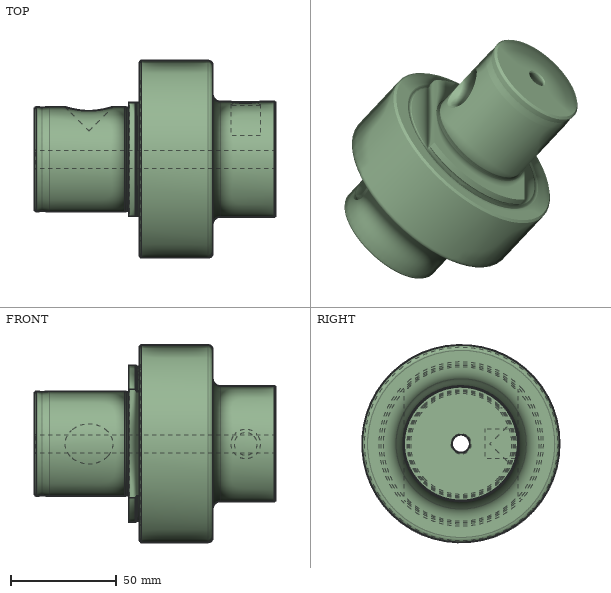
import cadquery as cq

shank_radius = 25.0
shank_end_chamfer = 1.0
groove_start_x = 1.2
groove_bottom_x = 3.7
groove_end_x = 7.2
groove_depth = 0.3

shank_undercut_ramp_length = 0.8
shank_undercut_length = 1.8
shank_undercut_depth = 0.3
shank_undercut_corner = 0.8
shank_undercut_face_depth = 0.3
shank_undercut_outer_radius = 25.75

flange_x = 45.0
flange_length = 5.0
flange_radius = 37.4
flat_half_width = 27.1

flange_undercut_ramp_length = 0.7
flange_undercut_length = 1.8
flange_undercut_depth = 0.7
flange_undercut_corner = 1.4
flange_undercut_face_depth = 0.5
flange_undercut_outer_radius = 39.1

head_x = flange_x + flange_length
head_radius = 47.0
head_length = 35.0
head_front_chamfer = 1.0
head_rear_fillet = 2.5
head_rear_x = head_x + head_length

nose_radius = 27.5
nose_root_fillet = 3.5
nose_end_x = 115.0
nose_end_chamfer_length = 0.8
nose_end_chamfer_depth = 0.5

bore_radius = 4.2
bore_chamfer = 0.6

dimple_x = 26.0
dimple_mouth_radius = 11.4
dimple_cutter_overrun = 1.0

screw_x = 100.5
screw_radius = 7.0
screw_length = 16.0
screw_outer_y = 27.4
screw_chamfer = 1.6
screw_inner_y = screw_outer_y - screw_length


def undercut(profile, start_x, radius, face_x, ramp_length, depth, corner, face_depth, outer_radius):
    """Run the profile along a cylinder, then through an undercut that also bites into the face."""
    floor_radius = radius - depth
    return (
        profile
        .lineTo(start_x, radius)
        .lineTo(start_x + ramp_length, floor_radius)
        .lineTo(face_x + face_depth - corner, floor_radius)
        .tangentArcPoint((corner, corner))
        .lineTo(face_x, outer_radius)
    )


def make_holder_blank():
    profile = (
        cq.Workplane("XY")
        .moveTo(bore_chamfer, bore_radius)
        .lineTo(0, bore_radius + bore_chamfer)
        .lineTo(0, shank_radius - shank_end_chamfer)
        .lineTo(shank_end_chamfer, shank_radius)
        .lineTo(groove_start_x, shank_radius)
        .lineTo(groove_bottom_x, shank_radius - groove_depth)
        .lineTo(groove_end_x, shank_radius)
    )
    profile = undercut(
        profile,
        start_x=flange_x - shank_undercut_length,
        radius=shank_radius,
        face_x=flange_x,
        ramp_length=shank_undercut_ramp_length,
        depth=shank_undercut_depth,
        corner=shank_undercut_corner,
        face_depth=shank_undercut_face_depth,
        outer_radius=shank_undercut_outer_radius,
    )
    profile = profile.lineTo(flange_x, flange_radius)
    profile = undercut(
        profile,
        start_x=head_x - flange_undercut_length,
        radius=flange_radius,
        face_x=head_x,
        ramp_length=flange_undercut_ramp_length,
        depth=flange_undercut_depth,
        corner=flange_undercut_corner,
        face_depth=flange_undercut_face_depth,
        outer_radius=flange_undercut_outer_radius,
    )
    profile = (
        profile
        .lineTo(head_x, head_radius - head_front_chamfer)
        .lineTo(head_x + head_front_chamfer, head_radius)
        .lineTo(head_rear_x - head_rear_fillet, head_radius)
        .tangentArcPoint((head_rear_fillet, -head_rear_fillet))
        .lineTo(head_rear_x, nose_radius + nose_root_fillet)
        .tangentArcPoint((nose_root_fillet, -nose_root_fillet))
        .lineTo(nose_end_x - nose_end_chamfer_length, nose_radius)
        .lineTo(nose_end_x, nose_radius - nose_end_chamfer_depth)
        .lineTo(nose_end_x, bore_radius)
    )
    return profile.close().revolve(360, (0, 0, 0), (1, 0, 0))


def make_flat_cutter(side):
    """Block outside one wrench flat; side is +1 for +Y and -1 for -Y."""
    depth = flange_radius - flat_half_width
    center = (flange_x + flange_length / 2, side * (flat_half_width + depth / 2), 0)
    return cq.Workplane("XY").box(flange_length, depth, 2 * flange_radius).translate(center)


def make_dimple_cutter():
    """Cone with its tip inside the shank, ending outside the shank surface."""
    tip_y = shank_radius - dimple_mouth_radius
    base_radius = dimple_mouth_radius + dimple_cutter_overrun
    base_y = tip_y + base_radius
    profile = (
        cq.Workplane("XY")
        .moveTo(dimple_x, tip_y)
        .lineTo(dimple_x + base_radius, base_y)
        .lineTo(dimple_x, base_y)
    )
    return profile.close().revolve(360, (dimple_x, 0, 0), (dimple_x, 1, 0))


def screw_cylinder(length):
    """Cylinder of the screw's radius running in +Y from the screw's inner end."""
    plane = cq.Workplane("XZ", origin=(screw_x, screw_inner_y, 0))
    return plane.circle(screw_radius).extrude(-length)


def make_holder():
    holder = make_holder_blank()
    for side in (-1, 1):
        holder = holder.cut(make_flat_cutter(side))
    holder = holder.cut(make_dimple_cutter())
    screw_hole = screw_cylinder(nose_radius - screw_inner_y)
    return holder.cut(screw_hole)


def make_clamping_screw():
    return screw_cylinder(screw_length).faces(">Y").chamfer(screw_chamfer)


holder = make_holder()
clamping_screw = make_clamping_screw()
result = cq.Compound.makeCompound([holder.val(), clamping_screw.val()])